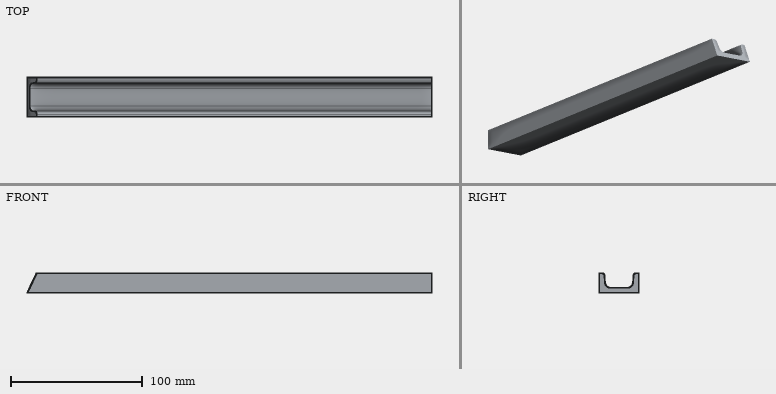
import cadquery as cq
import math

BOTTOM_LENGTH = 306.68
WIDTH = 30.0
HEIGHT = 15.0
MITRE_ANGLE = 25.5

FLOOR_THICKNESS = 4.0
WALL_THICKNESS = 4.5
WALL_SLOPE = 0.08
ROOT_RADIUS = 4.0
LIP_RADIUS = 2.0

MITRE_RUN = HEIGHT * math.tan(math.radians(MITRE_ANGLE))


def channel_half_width(height):
    """Distance from the centre plane to the sloping wall face at a given height."""
    return WIDTH / 2 - WALL_THICKNESS + WALL_SLOPE * (height - HEIGHT / 2)


def make_channel_bar():
    """Square-ended U-section bar with sloping inner walls, rounded roots and lips."""
    floor_half_width = channel_half_width(FLOOR_THICKNESS)
    top_half_width = channel_half_width(HEIGHT)
    bar = (
        cq.Workplane("YZ")
        .moveTo(-WIDTH / 2, 0)
        .lineTo(WIDTH / 2, 0)
        .lineTo(WIDTH / 2, HEIGHT)
        .lineTo(top_half_width, HEIGHT)
        .lineTo(floor_half_width, FLOOR_THICKNESS)
        .lineTo(-floor_half_width, FLOOR_THICKNESS)
        .lineTo(-top_half_width, HEIGHT)
        .lineTo(-WIDTH / 2, HEIGHT)
        .close()
        .extrude(BOTTOM_LENGTH)
    )
    for side in (-1, 1):
        root_point = (BOTTOM_LENGTH / 2, side * floor_half_width, FLOOR_THICKNESS)
        lip_point = (BOTTOM_LENGTH / 2, side * top_half_width, HEIGHT)
        bar = bar.edges(cq.NearestToPointSelector(root_point)).fillet(ROOT_RADIUS)
        bar = bar.edges(cq.NearestToPointSelector(lip_point)).fillet(LIP_RADIUS)
    return bar


def make_mitre_cutter():
    """Wedge that trims the -X end so that it leans back toward the top."""
    return (
        cq.Workplane("XZ")
        .polyline([(0, 0), (MITRE_RUN, HEIGHT), (0, HEIGHT)])
        .close()
        .extrude(WIDTH / 2, both=True)
    )


result = make_channel_bar().cut(make_mitre_cutter())